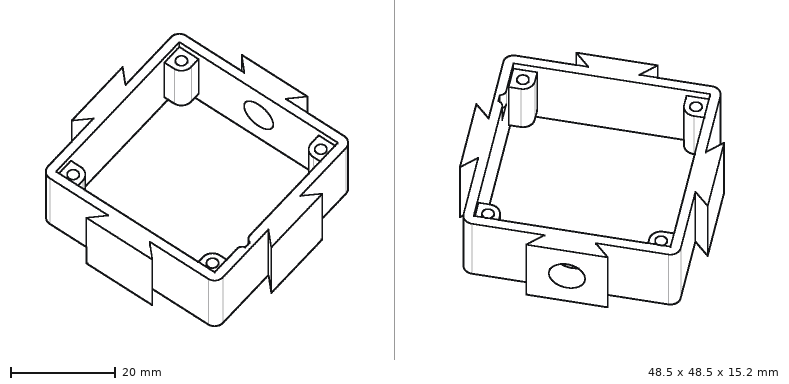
import cadquery as cq
import math

overall_width = 48.5
height = 15.2
dovetail_depth = 3.0
wall = 2.0
corner_radius = 2.05
body_width = overall_width - 2 * dovetail_depth
inner_width = body_width - 2 * wall

dovetail_outer_width = 16.0
dovetail_root_width = dovetail_outer_width - 2 * dovetail_depth

post_size = 4.65
post_radius = post_size / 2
screw_hole_diameter = 2.35
post_top_recess = 1.6
post_bottom_recess = 2.0
post_height = height - post_top_recess - post_bottom_recess

cable_hole_diameter = 7.1

notch_y = -10.3
notch_depth = 1.0
notch_height = 4.03
notch_mouth_width = 4.0
notch_floor_width = 1.45


def make_frame():
    outer = cq.Workplane("XY").rect(body_width, body_width).extrude(height)
    outer = outer.edges("|Z").fillet(corner_radius)
    opening = cq.Workplane("XY").rect(inner_width, inner_width).extrude(height)
    return outer.cut(opening)


def make_dovetail(angle):
    """Dovetail on the +X side, turned about Z to the requested side."""
    root_x = body_width / 2 - wall / 2
    face_x = body_width / 2
    tip_x = overall_width / 2
    half_root = dovetail_root_width / 2
    half_outer = dovetail_outer_width / 2
    outline = [
        (root_x, -half_root),
        (face_x, -half_root),
        (tip_x, -half_outer),
        (tip_x, half_outer),
        (face_x, half_root),
        (root_x, half_root),
    ]
    dovetail = cq.Workplane("XY").polyline(outline).close().extrude(height)
    return dovetail.rotate((0, 0, 0), (0, 0, 1), angle)


def make_post(angle):
    """Drilled post in the (+X, +Y) corner, turned about Z to the requested corner."""
    center = inner_width / 2 - post_size / 2
    post = (
        cq.Workplane("XY", origin=(center, center, post_bottom_recess))
        .rect(post_size, post_size)
        .extrude(post_height)
        .edges("|Z and <X and <Y")
        .fillet(post_radius)
        .faces(">Z")
        .workplane(origin=(center, center, 0))
        .hole(screw_hole_diameter)
    )
    return post.rotate((0, 0, 0), (0, 0, 1), angle)


def make_cable_hole():
    return (
        cq.Workplane("XZ", origin=(0, 0, height / 2))
        .circle(cable_hole_diameter / 2)
        .extrude(-overall_width)
    )


def make_notch():
    """Notch open at the top; each side is an arc tangent to the inner wall face."""
    half_mouth = notch_mouth_width / 2
    half_floor = notch_floor_width / 2
    flare_width = half_mouth - half_floor
    flare_radius = (notch_depth**2 + flare_width**2) / (2 * notch_depth)
    half_turn = math.atan2(notch_depth, flare_width)
    middle_x = flare_radius * (1 - math.cos(half_turn))
    middle_y = half_mouth - flare_radius * math.sin(half_turn)
    return (
        cq.Workplane("XY", origin=(inner_width / 2, notch_y, height - notch_height))
        .moveTo(0, -half_mouth)
        .threePointArc((middle_x, -middle_y), (notch_depth, -half_floor))
        .lineTo(notch_depth, half_floor)
        .threePointArc((middle_x, middle_y), (0, half_mouth))
        .close()
        .extrude(notch_height)
    )


result = make_frame()
for side_angle in (0, 90, 180, 270):
    result = result.union(make_dovetail(side_angle))
    result = result.union(make_post(side_angle))
result = result.cut(make_cable_hole()).cut(make_notch())